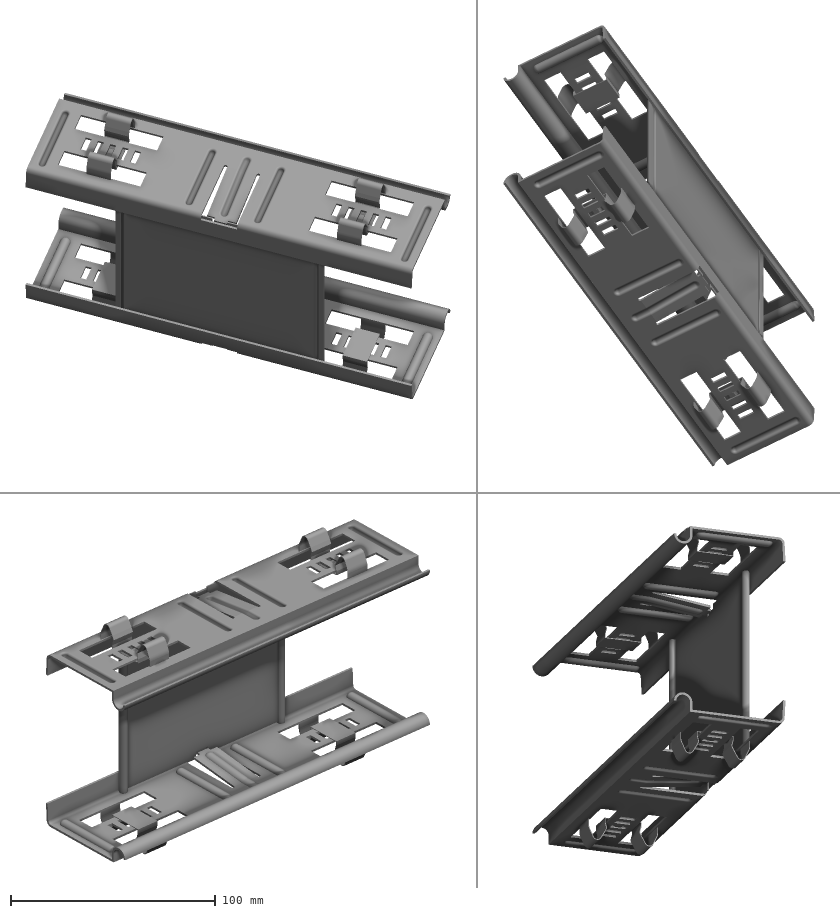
import cadquery as cq
import math

length = 200.0
depth = 58.2
height = 118.0
rail_height = 97.0
rail_sheet = 1.2

half_depth = depth / 2
web_top = rail_height / 2
web_bottom = web_top - rail_sheet

bend_radius = 3.0
flange_tilt = math.radians(3)
flange_length = 9.5
hook_radius = 4.8
hook_drop = 9.5

bend_z = web_top - bend_radius
bend_y = -half_depth + bend_radius * math.cos(flange_tilt) + flange_length * math.sin(flange_tilt)
hook_y = half_depth - hook_radius
hook_z = web_top - hook_drop + hook_radius
hook_bore = hook_radius - rail_sheet

bead_half_width = 2.5
side_bead_depth = 2.2
side_bead_positions = [-94.0, -17.8, 17.8, 94.0]
side_bead_start = -21.8
side_bead_end = 12.5
tongue_bead_depth = 1.5
tongue_bead_start = -20.5
tongue_bead_end = 13.2

window_half_width = 9.5
tongue_half_width = 7.5
fold_y = 5.8
tongue_end_y = -24.5
tab_half_width = 3.5
tab_end_y = -26.2
tongue_angle = 7.0

clip_x = 65.0
clip_y = -3.0
clip_width = 12.5
clip_sheet = 0.5
opening_length = 42.8
opening_inner = 7.5
opening_outer = 17.2
small_slot_count = 5
small_slot_pitch = 6.5
small_slot_width = 3.0
small_slot_length = 8.0
inner_leg = 9.5
crown_y = 13.5
crown_half_width = 2.0
outer_leg = 18.0
foot_end = 22.0
foot_chamfer = 1.5
crown_start_z = 57.5
boss_length = 6.0
boss_top_length = 2.8
boss_width = 2.5
boss_height = 1.0

base_z = web_bottom - clip_sheet / 2
crown_z = height / 2 - clip_sheet / 2
foot_z = web_top - clip_sheet / 2

panel_sheet = 0.5
panel_half_width = 54.0
notch_half_width = 3.8

panel_front = bend_y - (bend_radius - rail_sheet)
panel_back = panel_front + panel_sheet


def box(x0, x1, y0, y1, z0, z1):
    """Box between the given limits."""
    return cq.Workplane("XY").box(x1 - x0, y1 - y0, z1 - z0, centered=False).translate((x0, y0, z0))


def bend_point(radius, angle):
    """Point on the flange bend, at an angle above the -Y direction."""
    return (bend_y - radius * math.cos(angle), bend_z + radius * math.sin(angle))


def flange_end(radius):
    """End of the flange, on the face that leaves the bend at this radius."""
    y, z = bend_point(radius, flange_tilt)
    return (y - flange_length * math.sin(flange_tilt), z - flange_length * math.cos(flange_tilt))


def rail_section():
    """Web with a rear hook and a slightly splayed front flange."""
    inner_radius = bend_radius - rail_sheet
    middle = (flange_tilt + math.pi / 2) / 2
    return (
        cq.Workplane("YZ")
        .moveTo(*flange_end(bend_radius))
        .lineTo(*bend_point(bend_radius, flange_tilt))
        .threePointArc(bend_point(bend_radius, middle), (bend_y, web_top))
        .lineTo(hook_y - hook_bore, web_top)
        .lineTo(hook_y - hook_bore, hook_z)
        .threePointArc((hook_y, hook_z - hook_bore), (hook_y + hook_bore, hook_z))
        .lineTo(hook_y + hook_radius, hook_z)
        .threePointArc((hook_y, hook_z - hook_radius), (hook_y - hook_radius, hook_z))
        .lineTo(hook_y - hook_radius, web_bottom)
        .lineTo(bend_y, web_bottom)
        .threePointArc(bend_point(inner_radius, middle), bend_point(inner_radius, flange_tilt))
        .lineTo(*flange_end(inner_radius))
        .close()
        .extrude(length / 2, both=True)
    )


def bead_arc_radius(bead_depth):
    """Distance from the centre of the bottom arc to the centre of a lip arc."""
    return (bead_half_width**2 + bead_depth**2) / (2 * bead_depth)


def bead_bar(half_section, x, start, end):
    """Straight bar along Y with round ends, made from the right half of its section."""
    outline = half_section.val()
    half_bar = cq.Workplane("XZ").add(outline).toPending().extrude(start - end)
    bar = half_bar.union(half_bar.mirror("YZ"))
    round_end = cq.Workplane("XZ").add(outline).toPending().revolve(360, (0, 0, 0), (0, 1, 0))
    bar = bar.union(round_end).union(round_end.translate((0, end - start, 0)))
    return bar.translate((x, start, web_top))


def bead_groove(x, start, end, bead_depth):
    """What a bead removes from the upper face."""
    bottom_radius = bead_arc_radius(bead_depth) - rail_sheet
    bottom_center = bottom_radius - bead_depth
    rise = bottom_center + rail_sheet
    lip_angle = math.atan2(rise, bead_half_width)
    joint_x = bottom_radius * math.cos(lip_angle)
    joint_z = bottom_center - bottom_radius * math.sin(lip_angle)
    lip_mid = (math.pi / 2 + math.pi - lip_angle) / 2
    bottom_mid = -(math.pi / 2 + lip_angle) / 2
    half_section = (
        cq.Workplane("XZ")
        .lineTo(bead_half_width, 0)
        .threePointArc(
            (
                bead_half_width + rail_sheet * math.cos(lip_mid),
                -rail_sheet + rail_sheet * math.sin(lip_mid),
            ),
            (joint_x, joint_z),
        )
        .threePointArc(
            (
                bottom_radius * math.cos(bottom_mid),
                bottom_center + bottom_radius * math.sin(bottom_mid),
            ),
            (0, -bead_depth),
        )
        .close()
    )
    return bead_bar(half_section, x, start, end)


def bead_bulge(x, start, end, bead_depth):
    """What a bead adds below the web, filled up to the upper face."""
    radius = bead_arc_radius(bead_depth)
    bottom = -bead_depth - rail_sheet
    half_angle = math.asin(bead_half_width / radius) / 2
    half_section = (
        cq.Workplane("XZ")
        .lineTo(bead_half_width, 0)
        .lineTo(bead_half_width, -rail_sheet)
        .threePointArc(
            (radius * math.sin(half_angle), bottom + radius * (1 - math.cos(half_angle))),
            (0, bottom),
        )
        .close()
    )
    return bead_bar(half_section, x, start, end)


def tongue():
    """Beaded spring tongue with an end tab, bent down about its fold line."""
    body = box(-tongue_half_width, tongue_half_width, tongue_end_y, fold_y, web_bottom, web_top)
    body = body.union(box(-tab_half_width, tab_half_width, tab_end_y, fold_y, web_bottom, web_top))
    bead = (0, tongue_bead_start, tongue_bead_end, tongue_bead_depth)
    in_front_of_fold = box(-length, length, -length, fold_y, 0, length)
    body = body.union(bead_bulge(*bead).intersect(in_front_of_fold)).cut(bead_groove(*bead))
    return body.rotate((0, fold_y, web_top), (1, fold_y, web_top), tongue_angle)


def tongue_window():
    """Opening around the tongue, with a round-ended slot along each of its sides."""
    window = box(-window_half_width, window_half_width, -depth, fold_y, bend_z, web_top)
    window = window.union(box(-window_half_width, window_half_width, bend_y, fold_y, 0, web_top))
    slot_width = window_half_width - tongue_half_width
    for side in (-1, 1):
        x = side * (window_half_width - slot_width / 2)
        window = window.union(
            cq.Workplane("XY", origin=(x, fold_y, 0)).circle(slot_width / 2).extrude(length)
        )
    return window


def clip_openings(x):
    """Two large openings for the clip loops and a row of small slots between them."""
    opening_width = opening_outer - opening_inner
    offset = (opening_outer + opening_inner) / 2
    large = (
        cq.Workplane("XY", origin=(x, clip_y, 0))
        .pushPoints([(0, -offset), (0, offset)])
        .rect(opening_length, opening_width)
        .extrude(length)
    )
    small = (
        cq.Workplane("XY", origin=(x, clip_y, 0))
        .rarray(small_slot_pitch, 2, small_slot_count, 1)
        .rect(small_slot_width, small_slot_length)
        .extrude(length)
    )
    return large.union(small)


def upper_rail():
    """Rail with its beads, tongue and clip openings."""
    rail = rail_section()
    beads = [(x, side_bead_start, side_bead_end, side_bead_depth) for x in side_bead_positions]
    beads.append((0, tongue_bead_start, tongue_bead_end, tongue_bead_depth))
    for bead in beads:
        rail = rail.union(bead_bulge(*bead)).cut(bead_groove(*bead))
    rail = rail.cut(tongue_window()).union(tongue())
    for x in (-clip_x, clip_x):
        rail = rail.cut(clip_openings(x))
    return rail


def clip_path(x):
    """Centre line of the right half of the strip, from the middle of its base to its foot."""
    return (
        cq.Workplane("YZ", origin=(x, clip_y, 0))
        .moveTo(0, base_z)
        .lineTo(inner_leg, base_z)
        .lineTo(inner_leg, 49.2)
        .lineTo(8.5, 52.2)
        .lineTo(9.5, 54.2)
        .lineTo(crown_y - crown_half_width, crown_start_z)
        .threePointArc((crown_y, crown_z), (crown_y + crown_half_width, crown_start_z))
        .lineTo(17.5, 53.8)
        .threePointArc((17.8, 52.8), (outer_leg, 51.5))
        .lineTo(outer_leg, foot_z)
        .lineTo(foot_end, foot_z)
    )


def upper_clip(x):
    """Strip with its base under the web, two loops through the openings and flush feet."""
    half = (
        cq.Workplane("XZ", origin=(x, clip_y, base_z))
        .rect(clip_width, clip_sheet)
        .sweep(clip_path(x), transition="right")
        .edges("|Z and >Y")
        .chamfer(foot_chamfer)
    )
    other_half = half.mirror("XZ", (0, clip_y, 0))
    boss = (
        cq.Workplane("YZ", origin=(x, clip_y, base_z))
        .moveTo(-boss_length / 2, 0)
        .lineTo(-boss_top_length / 2, boss_height)
        .lineTo(boss_top_length / 2, boss_height)
        .lineTo(boss_length / 2, 0)
        .close()
        .extrude(boss_width / 2, both=True)
    )
    return half.union(other_half).union(boss)


def panel():
    """Sheet panel with a curled edge on each side, fitted between the rails."""
    curl_radius = 2.5
    curl_bore = curl_radius - panel_sheet
    curl_x = panel_half_width - curl_radius
    lip_x = 51.5
    neck_x = 50.2
    neck_radius = 1.5
    neck_bore = neck_radius - panel_sheet
    neck_center_x = neck_x - neck_radius
    neck_center_y = panel_front + neck_radius
    diagonal = math.sqrt(0.5)

    def curl_y(radius, x):
        return panel_back + math.sqrt(radius**2 - (x - curl_x) ** 2)

    back_x = neck_x - panel_sheet
    half = (
        cq.Workplane("XY", origin=(0, 0, -web_bottom))
        .moveTo(0, panel_front)
        .lineTo(neck_center_x, panel_front)
        .threePointArc(
            (neck_center_x + neck_radius * diagonal, neck_center_y - neck_radius * diagonal),
            (neck_x, neck_center_y),
        )
        .lineTo(neck_x, curl_y(curl_bore, neck_x))
        .threePointArc((curl_x, panel_back + curl_bore), (curl_x + curl_bore, panel_back))
        .lineTo(lip_x, panel_back)
        .lineTo(lip_x, panel_front)
        .lineTo(panel_half_width, panel_front)
        .lineTo(panel_half_width, panel_back)
        .threePointArc((curl_x, panel_back + curl_radius), (back_x, curl_y(curl_radius, back_x)))
        .lineTo(back_x, neck_center_y)
        .threePointArc(
            (neck_center_x + neck_bore * diagonal, neck_center_y - neck_bore * diagonal),
            (neck_center_x, panel_back),
        )
        .lineTo(0, panel_back)
        .close()
        .extrude(2 * web_bottom)
    )
    body = half.union(half.mirror("YZ"))
    notch_floor = 43.2
    for z0, z1 in ((notch_floor, web_top), (-web_top, -notch_floor)):
        body = body.cut(box(-notch_half_width, notch_half_width, -depth, 0, z0, z1))
    return body


top_rail = upper_rail()
top_clips = [upper_clip(x) for x in (-clip_x, clip_x)]
for clip in top_clips:
    top_rail = top_rail.cut(clip)
bottom_rail = top_rail.mirror("XY")
bottom_clips = [clip.mirror("XY") for clip in top_clips]
web_panel = panel().cut(top_rail).cut(bottom_rail)

bodies = [top_rail, bottom_rail, *top_clips, *bottom_clips, web_panel]
result = cq.Compound.makeCompound([body.solids().val() for body in bodies])